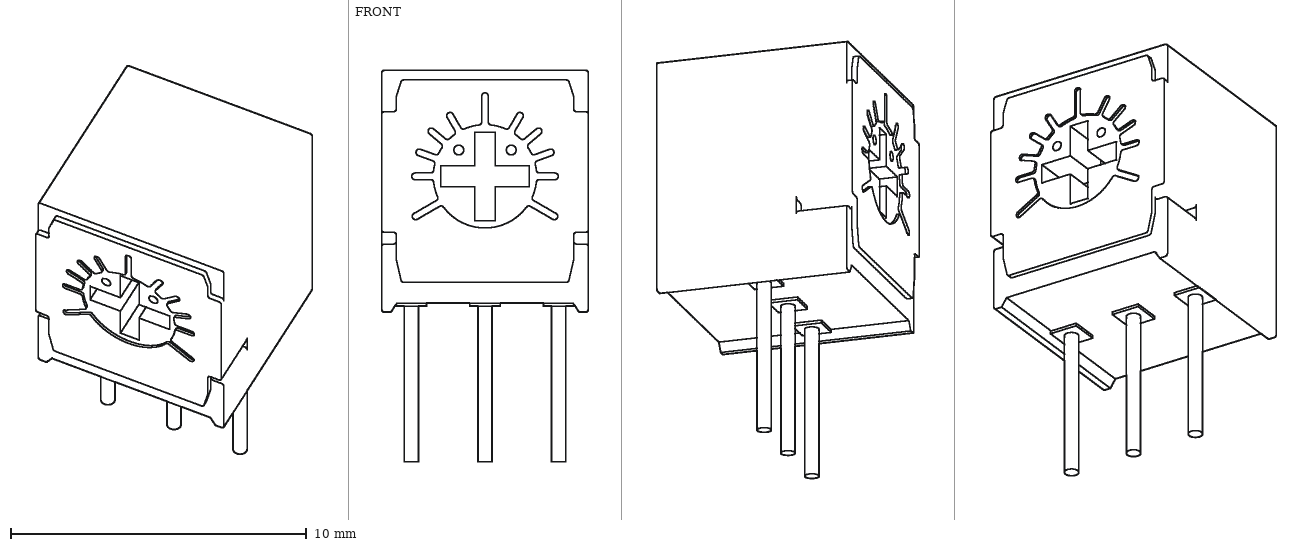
import cadquery as cq
import math

WIDTH = 7.0
DEPTH = 7.0
HEIGHT = 13.25
BODY_BOTTOM = 5.06
EDGE_RADIUS = 0.1

PLATE_THICKNESS = 0.2
PLATE_TOP = 12.92
PLATE_BOTTOM = 6.07
PLATE_END_HALF_WIDTH = 2.82
PLATE_HALF_WIDTH = 3.0
UPPER_TAPER_Z = 12.38
LOWER_TAPER_Z = 6.82
EAR_TOP = 11.85
EAR_BOTTOM = 7.76

SLOT_HEIGHT = 0.4
SLOT_LENGTH = 2.0

RECESS_TOP = 5.37
RECESS_HALF_WIDTH = 2.98
FOOT_INNER_X = 3.18

PIN_DIAMETER = 0.49
PIN_PITCH = 2.49
PAD_SIZE = 1.03
PAD_THICKNESS = 0.1

DIAL_Z = 9.66
DIAL_RADIUS = 1.75
DIAL_DEPTH = 0.1
MARK_WIDTH = 0.23
LONG_MARK_TIP = 2.82
SHORT_MARK_TIP = 2.48
LONG_MARK_ANGLES = (-30, 90, 210)
SHORT_MARK_ANGLES = (0, 20, 40, 60, 120, 140, 160, 180)
MARK_ROOT_RADIUS = 0.1
CROSS_LENGTH = 3.0
CROSS_ARM_WIDTH = 0.7
CROSS_DEPTH = 2.0
DOT_OFFSET = 0.89
DOT_DIAMETER = 0.33
DOT_DEPTH = 0.5

FRONT_Y = -DEPTH / 2
BODY_FRONT_Y = FRONT_Y + PLATE_THICKNESS
BACK_Y = DEPTH / 2
SIDE_X = WIDTH / 2


def prism(sketch, y_start, y_end):
    """Extrude a closed XZ outline from y_start back to y_end."""
    return sketch.extrude(y_start - y_end).translate((0, y_start, 0))


def front_box(x_size, z_size, depth, x, z):
    """Box starting at the front face and reaching depth behind it."""
    sketch = cq.Workplane("XZ").center(x, z).rect(x_size, z_size)
    return prism(sketch, FRONT_Y, FRONT_Y + depth)


def full_outline():
    """Housing outline in XZ, with the recess between the feet."""
    right = [
        (SIDE_X, HEIGHT),
        (SIDE_X, BODY_BOTTOM),
        (FOOT_INNER_X, BODY_BOTTOM),
        (RECESS_HALF_WIDTH, RECESS_TOP),
    ]
    left = [(-x, z) for x, z in reversed(right)]
    return cq.Workplane("XZ").polyline(right + left).close()


def plate_outline():
    """Front plate outline: tapered ends and full-width ears at mid height."""
    right = [
        (PLATE_END_HALF_WIDTH, PLATE_TOP),
        (PLATE_HALF_WIDTH, UPPER_TAPER_Z),
        (PLATE_HALF_WIDTH, EAR_TOP),
        (SIDE_X, EAR_TOP),
        (SIDE_X, EAR_BOTTOM),
        (PLATE_HALF_WIDTH, EAR_BOTTOM),
        (PLATE_HALF_WIDTH, LOWER_TAPER_Z),
        (PLATE_END_HALF_WIDTH, PLATE_BOTTOM),
    ]
    left = [(-x, z) for x, z in reversed(right)]
    return cq.Workplane("XZ").polyline(right + left).close()


def edges_at(body, places):
    """Select the edges along Y that pass through the given (x, z) places."""
    tolerance = 0.001

    def is_wanted(edge):
        centre = edge.Center()
        return any(math.hypot(centre.x - x, centre.z - z) < tolerance for x, z in places)

    return body.edges("|Y").filter(is_wanted)


def mirrored(places):
    return places + [(-x, z) for x, z in places]


def housing():
    body = prism(full_outline(), BODY_FRONT_Y, BACK_Y)
    outer_corners = [(SIDE_X, HEIGHT), (SIDE_X, BODY_BOTTOM)]
    body = edges_at(body, mirrored(outer_corners)).fillet(EDGE_RADIUS)

    plate = prism(plate_outline(), FRONT_Y, BODY_FRONT_Y)
    plate_corners = [
        (PLATE_END_HALF_WIDTH, PLATE_TOP),
        (PLATE_HALF_WIDTH, EAR_TOP),
        (SIDE_X, EAR_TOP),
        (PLATE_END_HALF_WIDTH, PLATE_BOTTOM),
    ]
    plate = edges_at(plate, mirrored(plate_corners)).fillet(EDGE_RADIUS)
    body = body.union(plate)

    slot_width = SIDE_X - PLATE_HALF_WIDTH
    slot_bottom = EAR_BOTTOM - SLOT_HEIGHT
    for side in (-1, 1):
        slot_x = side * (SIDE_X - slot_width / 2)
        slot_z = EAR_BOTTOM - SLOT_HEIGHT / 2
        body = body.cut(front_box(slot_width, SLOT_HEIGHT, SLOT_LENGTH, slot_x, slot_z))
    slot_corners = [(x, z) for x in (SIDE_X, PLATE_HALF_WIDTH) for z in (EAR_BOTTOM, slot_bottom)]
    return edges_at(body, mirrored(slot_corners)).fillet(EDGE_RADIUS)


def scale_mark(tip_radius, angle):
    """Round-tipped groove from the dial centre out to tip_radius."""
    cap_radius = MARK_WIDTH / 2
    bar_length = tip_radius - cap_radius
    bar = front_box(bar_length, MARK_WIDTH, DIAL_DEPTH, bar_length / 2, 0)
    tip_sketch = cq.Workplane("XZ").center(bar_length, 0).circle(cap_radius)
    mark = bar.union(prism(tip_sketch, FRONT_Y, FRONT_Y + DIAL_DEPTH))
    return mark.rotate((0, 0, 0), (0, -1, 0), angle).translate((0, 0, DIAL_Z))


def dial_recess():
    disc_sketch = cq.Workplane("XZ").center(0, DIAL_Z).circle(DIAL_RADIUS)
    recess = prism(disc_sketch, FRONT_Y, FRONT_Y + DIAL_DEPTH)
    for angle in LONG_MARK_ANGLES:
        recess = recess.union(scale_mark(LONG_MARK_TIP, angle))
    for angle in SHORT_MARK_ANGLES:
        recess = recess.union(scale_mark(SHORT_MARK_TIP, angle))

    half_mark = MARK_WIDTH / 2
    root_distance = math.sqrt(DIAL_RADIUS**2 - half_mark**2)
    roots = []
    for angle in LONG_MARK_ANGLES + SHORT_MARK_ANGLES:
        cos_a = math.cos(math.radians(angle))
        sin_a = math.sin(math.radians(angle))
        for offset in (-half_mark, half_mark):
            root_x = root_distance * cos_a - offset * sin_a
            root_z = root_distance * sin_a + offset * cos_a
            roots.append((root_x, DIAL_Z + root_z))
    return edges_at(recess, roots).fillet(MARK_ROOT_RADIUS)


def cross_slot():
    upright = front_box(CROSS_ARM_WIDTH, CROSS_LENGTH, CROSS_DEPTH, 0, DIAL_Z)
    level = front_box(CROSS_LENGTH, CROSS_ARM_WIDTH, CROSS_DEPTH, 0, DIAL_Z)
    return upright.union(level)


def dots():
    centres = [(side * DOT_OFFSET, DIAL_Z + DOT_OFFSET) for side in (-1, 1)]
    sketch = cq.Workplane("XZ").pushPoints(centres).circle(DOT_DIAMETER / 2)
    return prism(sketch, FRONT_Y, FRONT_Y + DIAL_DEPTH + DOT_DEPTH)


def pins_with_pads():
    centres = [(i * PIN_PITCH, 0) for i in (-1, 0, 1)]
    pins = cq.Workplane("XY").pushPoints(centres).circle(PIN_DIAMETER / 2).extrude(RECESS_TOP)
    pads = (
        cq.Workplane("XY")
        .workplane(offset=RECESS_TOP - PAD_THICKNESS)
        .pushPoints(centres)
        .rect(PAD_SIZE, PAD_SIZE)
        .extrude(PAD_THICKNESS)
    )
    return pins.union(pads)


result = (
    housing()
    .cut(dial_recess())
    .cut(cross_slot())
    .cut(dots())
    .union(pins_with_pads())
)